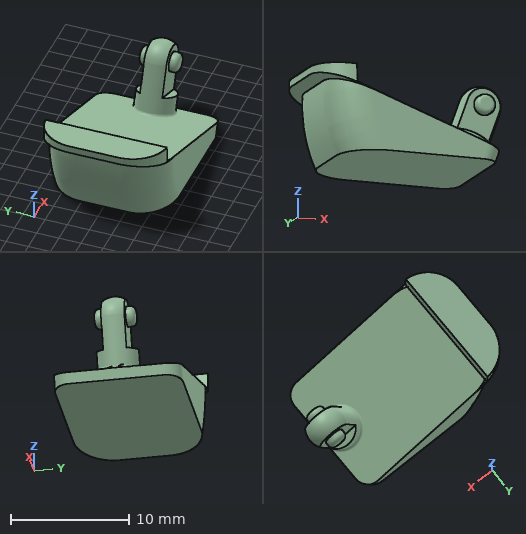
import cadquery as cq
import math

length = 17.94
width = 11.0
height = 7.68
deck_tilt = 20.0
slope = math.tan(math.radians(deck_tilt))
deck_height = 6.87
front_top_x = 1.2
front_mid = (1.38, 3.21)
front_bottom_x = 2.39
tail_bottom_x = 15.93
front_radius = 3.32
tail_radius = 1.4

lip_tip_height = 7.52
lip_back_top = (3.03, 7.3)
lip_back_x = 3.1
skirt_thickness = 0.04
skirt_end_x = front_top_x + front_radius

peg_radius = 3.6 / 2
ball_center = (length - peg_radius, height - peg_radius)
flat_thickness = 2.01
flat_length = 2.89
flare = 0.23

pin_diameter = 1.75
pin_length = 3.52
pin_rounding = 0.4


def deck_z(x):
    return deck_height - slope * x


def extrude_across(profile):
    return profile.close().extrude(width / 2, both=True)


def make_body():
    tail_top_x = (tail_bottom_x + slope * deck_height) / (1 + slope**2)
    profile = (
        cq.Workplane("XZ")
        .moveTo(front_bottom_x, 0)
        .lineTo(tail_bottom_x, 0)
        .lineTo(tail_top_x, deck_z(tail_top_x))
        .lineTo(front_top_x, deck_z(front_top_x))
        .threePointArc(front_mid, (front_bottom_x, 0))
    )
    body = extrude_across(profile)
    end_edges = "not(|Y)"
    body = body.faces("<X").edges(end_edges).fillet(front_radius)
    return body.faces(">X").edges(end_edges).fillet(tail_radius)


def make_lip():
    profile = cq.Workplane("XZ").polyline([
        (0, deck_z(0) - skirt_thickness),
        (0, lip_tip_height),
        lip_back_top,
        (lip_back_x, deck_z(lip_back_x)),
        (skirt_end_x, deck_z(skirt_end_x)),
        (skirt_end_x, deck_z(skirt_end_x) - skirt_thickness),
    ])
    lip = extrude_across(profile)
    corner_reach = front_radius + 0.18
    rounded_outline = (
        cq.Workplane("XY")
        .rect(2 * (skirt_end_x + corner_reach), width)
        .extrude(2 * deck_height)
        .translate((skirt_end_x + corner_reach, 0, 0))
        .edges("|Z and <X")
        .fillet(front_radius)
    )
    return lip.intersect(rounded_outline)


def make_peg():
    center_x, center_z = ball_center
    foot = (center_z - deck_z(center_x)) * math.cos(math.radians(deck_tilt))
    root = foot + flare
    bend = flare * (1 - math.sqrt(0.5))
    peg = (
        cq.Workplane("XZ")
        .moveTo(0, -root)
        .lineTo(peg_radius, -root)
        .lineTo(peg_radius, 0)
        .threePointArc((peg_radius * math.sqrt(0.5), peg_radius * math.sqrt(0.5)), (0, peg_radius))
        .close()
        .revolve(360, (0, 0), (0, 1))
    )
    for side in (-1, 1):
        relief = cq.Workplane("XY").box(
            2 * peg_radius, peg_radius, flat_length + peg_radius, centered=(True, True, False)
        )
        offset = side * (flat_thickness + peg_radius) / 2
        peg = peg.cut(relief.translate((0, offset, -flat_length)))

    collar = (
        cq.Workplane("XZ")
        .moveTo(0, -foot)
        .lineTo(peg_radius + flare, -foot)
        .threePointArc((peg_radius + bend, bend - foot), (peg_radius, flare - foot))
        .lineTo(0, flare - foot)
        .close()
        .revolve(360, (0, 0), (0, 1))
    )
    overhang = (
        cq.Workplane("XY")
        .box(2 * flare, 2 * peg_radius, 2 * flare)
        .translate((peg_radius + flare, 0, -foot))
    )
    peg = peg.union(collar.cut(overhang))
    peg = peg.rotate((0, 0, 0), (0, 1, 0), deck_tilt)
    return peg.translate((center_x, 0, center_z))


def make_pin():
    pin = cq.Workplane("XZ").circle(pin_diameter / 2).extrude(pin_length / 2, both=True)
    pin = pin.faces("|Y").edges().fillet(pin_rounding)
    return pin.translate((ball_center[0], 0, ball_center[1]))


result = make_body().union(make_lip()).union(make_peg()).union(make_pin())